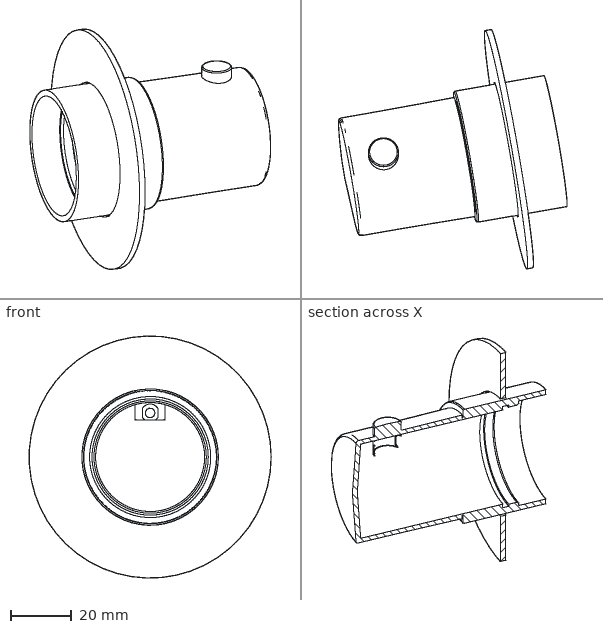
import cadquery as cq
import math


plate_diameter = 80.0
plate_thickness = 2.0
plate_front = 14.6

sleeve_radius = 22.0
sleeve_length = 30.2
sleeve_bevel_length = 0.5
sleeve_bevel_depth = 0.2
plate_clearance = 0.5

mouth_radius = 20.0
mouth_depth = 9.8
taper_start_radius = 19.2
taper_end_radius = 18.6
taper_length = 0.8
ring_groove_start = 13.6
ring_groove_end = 15.7
ring_groove_radius = 19.4
bore_radius = 18.0

parting_width = 0.3
parting_floor_radius = 18.8

knob_base_radius = 20.0
knob_top_radius = 19.8
knob_waist_inset = 0.1
knob_end = 70.7
dome_rise = 1.4
knob_edge_round = 1.0
knob_end_wall = 2.0

button_radius = 5.0
button_top = 23.5
button_bottom = 12.2
button_y = 57.7
button_crown = 0.2
button_edge_chamfer = 0.4

button_cavity_radius = 4.6
side_opening_z = 14.6
front_opening_radius = 3.0
front_opening_width = 5.1
rear_opening_radius = 1.6

plate_hole_radius = sleeve_radius + plate_clearance
knob_base = sleeve_length + parting_width
knob_shoulder = knob_end - dome_rise
dome_radius = (knob_top_radius**2 + dome_rise**2) / (2 * dome_rise)
button_rim = button_top - button_crown


def dome_drop(radius):
    """Drop of the dome below its apex at the given distance from the axis."""
    return dome_radius - math.sqrt(dome_radius**2 - radius**2)


def make_plate():
    """Flat ring that surrounds the sleeve with a clearance."""
    face_plane = cq.Workplane("XZ", origin=(0, plate_front, 0))
    return face_plane.circle(plate_diameter / 2).circle(plate_hole_radius).extrude(-plate_thickness)


def make_sleeve_blank():
    """Solid round blank with a slim bevel at its knob end."""
    profile = (
        cq.Workplane("XY")
        .lineTo(sleeve_radius, 0)
        .lineTo(sleeve_radius, sleeve_length - sleeve_bevel_length)
        .lineTo(sleeve_radius - sleeve_bevel_depth, sleeve_length)
        .lineTo(0, sleeve_length)
        .close()
    )
    return profile.revolve(360, (0, 0), (0, 1))


def make_neck():
    """Short core that joins the sleeve and the knob at the floor of the parting groove."""
    neck = cq.Workplane("XZ", origin=(0, sleeve_length, 0)).circle(parting_floor_radius)
    return neck.extrude(-parting_width)


def make_knob_blank():
    """Slightly flared knob with a domed end and a rounded rim."""
    waist = ((knob_base_radius + knob_top_radius) / 2 - knob_waist_inset, (knob_base + knob_shoulder) / 2)
    dome_middle = (knob_top_radius / 2, knob_end - dome_drop(knob_top_radius / 2))
    profile = (
        cq.Workplane("XY")
        .moveTo(0, knob_base)
        .lineTo(knob_base_radius, knob_base)
        .threePointArc(waist, (knob_top_radius, knob_shoulder))
        .threePointArc(dome_middle, (0, knob_end))
        .close()
    )
    knob = profile.revolve(360, (0, 0), (0, 1))
    return knob.faces(">Y").edges("%CIRCLE").fillet(knob_edge_round)


def make_bore():
    """Stepped bore from the sleeve mouth to the domed inner end of the knob."""
    inner_apex = knob_end - knob_end_wall
    inner_middle = (bore_radius / 2, inner_apex - dome_drop(bore_radius / 2))
    profile = (
        cq.Workplane("XY")
        .lineTo(mouth_radius, 0)
        .lineTo(mouth_radius, mouth_depth)
        .lineTo(taper_start_radius, mouth_depth)
        .lineTo(taper_end_radius, mouth_depth + taper_length)
        .lineTo(taper_end_radius, ring_groove_start)
        .lineTo(ring_groove_radius, ring_groove_start)
        .lineTo(ring_groove_radius, ring_groove_end)
        .lineTo(bore_radius, ring_groove_end)
        .lineTo(bore_radius, inner_apex - dome_drop(bore_radius))
        .threePointArc(inner_middle, (0, inner_apex))
        .close()
    )
    return profile.revolve(360, (0, 0), (0, 1))


def make_button_cavity():
    """Space inside the button, from its open lower end up to the height of the knob bore."""
    cavity = cq.Workplane("XY", origin=(0, button_y, button_bottom)).circle(button_cavity_radius)
    return cavity.extrude(bore_radius - button_bottom)


def make_front_opening():
    """Round opening with two flat sides, facing the mouth of the sleeve."""
    side_plane = cq.Workplane("XZ", origin=(0, button_y, side_opening_z))
    round_hole = side_plane.circle(front_opening_radius).extrude(button_radius)
    flats = side_plane.rect(front_opening_width, 2 * front_opening_radius).extrude(button_radius)
    return round_hole.intersect(flats)


def make_rear_opening():
    """Round opening facing the domed end."""
    side_plane = cq.Workplane("XZ", origin=(0, button_y, side_opening_z))
    return side_plane.circle(rear_opening_radius).extrude(-button_radius)


def make_button():
    """Round button with a crowned top, chamfered rim and a hollow skirt inside the knob."""
    crown_edge = button_radius - button_edge_chamfer
    crown_sphere = (crown_edge**2 + button_crown**2) / (2 * button_crown)
    crown_middle_drop = crown_sphere - math.sqrt(crown_sphere**2 - (crown_edge / 2) ** 2)
    profile = (
        cq.Workplane("XZ")
        .moveTo(0, button_bottom)
        .lineTo(button_radius, button_bottom)
        .lineTo(button_radius, button_rim - button_edge_chamfer)
        .lineTo(crown_edge, button_rim)
        .threePointArc((crown_edge / 2, button_top - crown_middle_drop), (0, button_top))
        .close()
    )
    button = profile.revolve(360, (0, 0), (0, 1)).translate((0, button_y, 0))
    return button.cut(make_button_cavity()).cut(make_front_opening()).cut(make_rear_opening())


def make_sleeve_with_knob():
    """Sleeve, neck, knob and button as one piece."""
    blank = make_sleeve_blank().union(make_neck()).union(make_knob_blank())
    turned = blank.cut(make_bore())
    return turned.union(make_button())


plate = make_plate()
sleeve_with_knob = make_sleeve_with_knob()

result = cq.Compound.makeCompound([plate.val(), sleeve_with_knob.solids().val()])